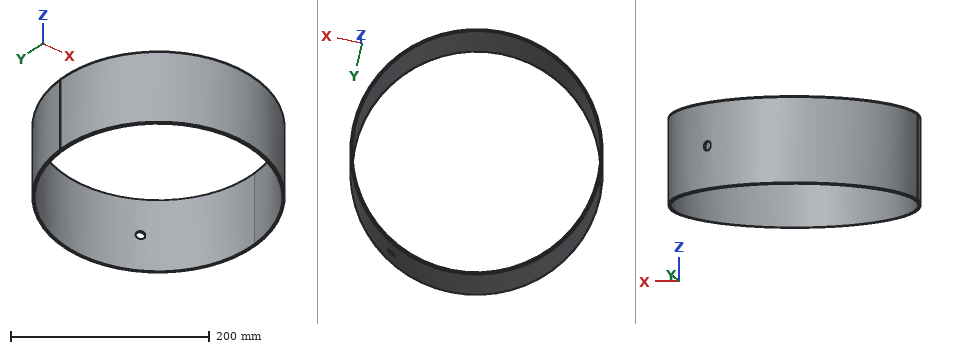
import cadquery as cq

outer_diameter = 255.0
height = 90.0
wall = 2.5
bevel_depth = 0.5
bevel_height = 1.5
inner_chamfer = 0.5
slit_width = 1.8
hole_diameter = 10.0
hole_angle = 59.0

outer_radius = outer_diameter / 2
inner_radius = outer_radius - wall


def make_ring():
    """Thin ring with steep outer bevels and small inner chamfers at both rims, standing on the XY plane."""
    rim_radius = outer_radius - bevel_depth
    profile = [
        (inner_radius, inner_chamfer),
        (inner_radius + inner_chamfer, 0),
        (rim_radius, 0),
        (outer_radius, bevel_height),
        (outer_radius, height - bevel_height),
        (rim_radius, height),
        (inner_radius + inner_chamfer, height),
        (inner_radius, height - inner_chamfer),
    ]
    return cq.Workplane("XZ").polyline(profile).close().revolve(360, (0, 0), (0, 1))


def make_slit():
    """Full-height cutter that splits the wall on the -X side, with one face on the XZ plane."""
    return (
        cq.Workplane("XY")
        .center(-outer_radius, slit_width / 2)
        .rect(4 * wall, slit_width)
        .extrude(height)
    )


def make_radial_hole():
    """Cutter for the round hole through one wall at mid-height."""
    return (
        cq.Workplane("YZ")
        .center(0, height / 2)
        .circle(hole_diameter / 2)
        .extrude(outer_diameter)
        .rotate((0, 0, 0), (0, 0, 1), hole_angle)
    )


result = make_ring().cut(make_slit()).cut(make_radial_hole())